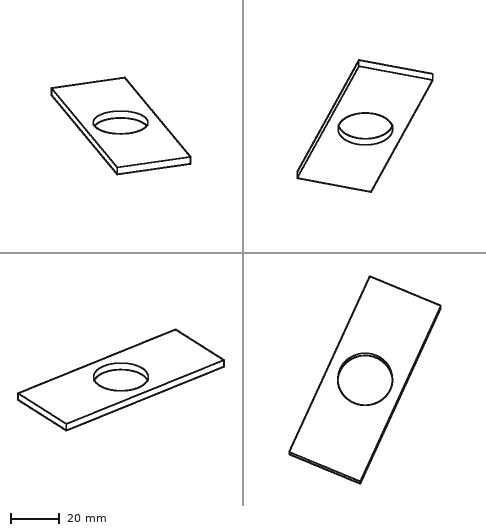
import cadquery as cq

length = 82.55
width = 31.75
thickness = 3.175

hole_diameter = 22.35
hole_offset_x = -0.127
hole_offset_y = -0.127


def make_plate():
    """Flat rectangular plate."""
    return cq.Workplane("XY").box(length, width, thickness)


def cut_hole(plate):
    """Cut the round hole through the full thickness."""
    top_face = plate.faces(">Z").workplane()
    return top_face.center(hole_offset_x, hole_offset_y).hole(hole_diameter)


result = cut_hole(make_plate())